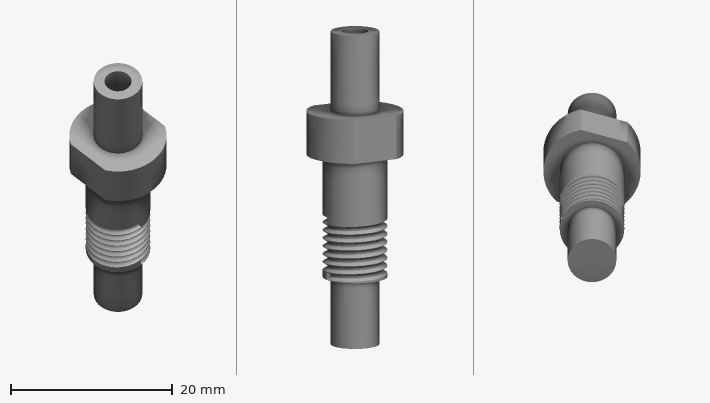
import cadquery as cq
import math

LOWER_STEM_LENGTH = 8.5
BODY_LENGTH = 15.5
COLLAR_HEIGHT = 5.5
TOTAL_LENGTH = 39.5

STEM_DIAMETER = 6.0
BODY_DIAMETER = 7.98
COLLAR_DIAMETER = 12.0
ACROSS_FLATS = 10.4
FLAT_TILT = -1.0

BORE_DIAMETER = 3.3
BORE_DEPTH = 10.0
DRILL_POINT_ANGLE = 118.0

THREAD_LENGTH = 7.0
THREAD_TURNS = 7
THREAD_DEPTH = 0.6
GROOVE_ROOT_WIDTH = 0.25
FLANK_ANGLE = 60.0
CUT_CLEARANCE = 0.05

body_bottom = LOWER_STEM_LENGTH
collar_bottom = body_bottom + BODY_LENGTH
collar_top = collar_bottom + COLLAR_HEIGHT
thread_pitch = THREAD_LENGTH / THREAD_TURNS
groove_start = body_bottom + thread_pitch / 2


def cylinder(diameter, bottom, top):
    return cq.Workplane("XY").workplane(offset=bottom).circle(diameter / 2).extrude(top - bottom)


def flatted_collar():
    """Round collar with two opposite wrench flats."""
    collar = cylinder(COLLAR_DIAMETER, collar_bottom, collar_top)
    flats = (
        cq.Workplane("XY")
        .workplane(offset=collar_bottom)
        .rect(COLLAR_DIAMETER * 2, ACROSS_FLATS)
        .extrude(COLLAR_HEIGHT)
        .rotate((0, 0, 0), (0, 0, 1), FLAT_TILT)
    )
    return collar.intersect(flats)


def bore_cutter():
    """Drilled hole: a cylinder ending in a cone."""
    radius = BORE_DIAMETER / 2
    floor = TOTAL_LENGTH - BORE_DEPTH
    tip = floor - radius / math.tan(math.radians(DRILL_POINT_ANGLE / 2))
    return (
        cq.Workplane("XZ")
        .polyline([(0, tip), (radius, floor), (radius, TOTAL_LENGTH), (0, TOTAL_LENGTH)])
        .close()
        .revolve(360, (0, 0, 0), (0, 1, 0))
    )


def thread_cutter():
    """Helical groove with a narrow flat root and straight flanks."""
    crest_radius = BODY_DIAMETER / 2
    root_radius = crest_radius - THREAD_DEPTH
    outer_radius = crest_radius + CUT_CLEARANCE
    root_half = GROOVE_ROOT_WIDTH / 2
    mouth_half = root_half + (THREAD_DEPTH + CUT_CLEARANCE) * math.tan(math.radians(FLANK_ANGLE / 2))
    path = cq.Wire.makeHelix(
        thread_pitch, THREAD_LENGTH, crest_radius, center=cq.Vector(0, 0, groove_start)
    )
    profile = (
        cq.Workplane("XZ")
        .workplane(origin=(0, 0, groove_start))
        .polyline([
            (root_radius, -root_half),
            (outer_radius, -mouth_half),
            (outer_radius, mouth_half),
            (root_radius, root_half),
        ])
        .close()
    )
    return profile.sweep(cq.Workplane(path), isFrenet=True)


threaded_body = cylinder(BODY_DIAMETER, body_bottom, collar_bottom).cut(thread_cutter())

result = (
    threaded_body
    .union(cylinder(STEM_DIAMETER, 0, body_bottom))
    .union(flatted_collar())
    .union(cylinder(STEM_DIAMETER, collar_top, TOTAL_LENGTH))
    .cut(bore_cutter())
)